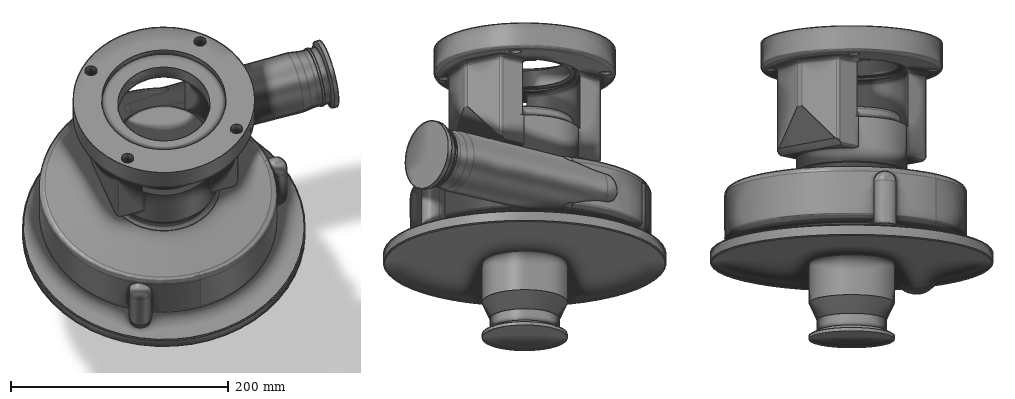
import cadquery as cq
import math

overall_length = 321

selection_margin = 0.3

plate_radius = 130.0
plate_thickness = 10.5
plate_edge_chamfer = 1.0

spacer_radius = 96.5
casing_bottom = 19.0

front_arc_radius = 112.7
rear_arc_radius = 102.7
casing_right = 107.0
front_center = casing_right - front_arc_radius
rear_center = casing_right - rear_arc_radius
casing_rim_height = 68.5
casing_cone_height = 74.0
casing_top_fillet = 5.5
casing_bottom_fillet = 6.0

throat_angle = math.radians(127)
throat_x = rear_center + rear_arc_radius * math.cos(throat_angle)
throat_y = rear_arc_radius * math.sin(throat_angle)
throat_web_radius = 5.8
throat_web_height = 22.5

nose_start_y = 33.7
nose_tip_x = -105.3
nose_tip_y = 43.3

neck_radius = 46.2
neck_fillet = 5.5
hub_bottom = 85.7
hub_radius = 50.7
hub_top = 127.8
pilot_radius = 44.5
pilot_top = 138.7
pilot_edge_fillet = 2.2

flange_top = 206.0
flange_thickness = 24.7
flange_radius = 83.5
flange_edge_fillet = 3.2
recess_radius = 57.0
recess_depth = 6.5
bore_radius = 42.5
underside_recess_depth = 3.0
bolt_hole_radius = 5.5
bolt_circle_radius = 74.8
bolt_count = 4
first_bolt_angle = 45
flange_bottom = flange_top - flange_thickness

column_half_width = 39.2
column_side_depth = 58.7
column_ridge_depth = 69.3
ridge_half_width = 3.0
column_inner_radius = 51.7
column_bottom = 98.2
column_bottom_radius = 5.8
slope_bottom_depth = 59.7
slope_top = 137.5
column_corner_fillet = 2.5
column_bottom_edge_fillet = 2.0
column_root_fillet = 4.0

pipe_x = -95.0
pipe_z = 44.3
pipe_radius = 28.2
pipe_inner_radius = 27.0
pipe_end = overall_length - plate_radius
pipe_neck_radius = 26.5
pipe_bead_radius = 27.5
pipe_clamp_radius = 31.8
pipe_clamp_thickness = 4.2

clamp_taper_end = 5.8
bead_start = 12.0
bead_end = 14.0
flare_start = 18.3
flare_middle = 25.7
flare_end = 33.0

inlet_radius = 39.2
inlet_neck_radius = 31.8
inlet_taper_start = -37.2
inlet_taper_end = -53.3
inlet_neck_end = -64.2
inlet_end = -71.3
inlet_clamp_edge = 3.2

domed_lug_angles = (90, -30)
flush_lug_angle = 210
flush_lug_top = 63.5
lug_center_radius = 108.5
lug_radius = 10.3
lug_inner_reach = 83.5
lug_bottom = 14.8
lug_shoulder = 55.2
foot_radius = 9.5


def cylinder(radius, bottom, top):
    return cq.Workplane("XY").workplane(offset=bottom).circle(radius).extrude(top - bottom)


def make_plate():
    plate = cylinder(plate_radius, 0, plate_thickness).edges().chamfer(plate_edge_chamfer)
    return plate.union(cylinder(spacer_radius, plate_thickness, casing_bottom))


def throat_wall_y(x):
    """Y of the straight throat wall at the given X."""
    return throat_y - (x - throat_x) / math.tan(throat_angle)


def make_casing():
    nose_start_x = front_center - math.sqrt(front_arc_radius**2 - nose_start_y**2)
    spiral = (
        cq.Workplane("XY")
        .workplane(offset=casing_bottom)
        .moveTo(casing_right, 0)
        .threePointArc((rear_center, rear_arc_radius), (throat_x, throat_y))
        .lineTo(pipe_x, throat_wall_y(pipe_x))
        .lineTo(pipe_x, nose_tip_y)
        .lineTo(nose_tip_x, nose_tip_y)
        .tangentArcPoint((nose_start_x, nose_start_y), relative=False)
        .threePointArc((front_center, -front_arc_radius), (casing_right, 0))
        .close()
        .extrude(casing_cone_height)
    )
    shallow_cone = (
        cq.Workplane("YZ")
        .moveTo(0, 0)
        .lineTo(plate_radius, 0)
        .lineTo(plate_radius, casing_rim_height)
        .lineTo(neck_radius, casing_cone_height)
        .lineTo(0, casing_cone_height)
        .close()
        .revolve(360, (0, 0, 0), (0, 1, 0))
    )
    casing = spiral.intersect(shallow_cone)
    casing = casing.faces("<Z").edges().fillet(casing_bottom_fillet)
    rim = cq.selectors.BoxSelector(
        (-plate_radius, -plate_radius, casing_rim_height - selection_margin),
        (plate_radius, plate_radius, casing_cone_height - selection_margin),
    )
    return casing.edges(rim).fillet(casing_top_fillet)


def make_hub():
    fillet_top = casing_cone_height + neck_fillet
    fillet_mid = neck_fillet * (1 - math.sqrt(0.5))
    profile = (
        cq.Workplane("XZ")
        .moveTo(0, casing_bottom)
        .lineTo(neck_radius + neck_fillet, casing_bottom)
        .lineTo(neck_radius + neck_fillet, casing_cone_height)
        .threePointArc(
            (neck_radius + fillet_mid, casing_cone_height + fillet_mid),
            (neck_radius, fillet_top),
        )
        .lineTo(neck_radius, hub_bottom)
        .lineTo(hub_radius, hub_bottom)
        .lineTo(hub_radius, hub_top)
        .lineTo(pilot_radius, hub_top)
        .lineTo(pilot_radius, pilot_top)
        .lineTo(0, pilot_top)
        .close()
    )
    return profile.revolve(360, (0, 0, 0), (0, 1, 0)).faces(">Z").edges().fillet(pilot_edge_fillet)


def make_column():
    """Column on the -Y side."""
    plan = (
        cq.Workplane("XY")
        .workplane(offset=column_bottom)
        .polyline([
            (-column_half_width, 0),
            (-column_half_width, -column_side_depth),
            (-ridge_half_width, -column_ridge_depth),
            (ridge_half_width, -column_ridge_depth),
            (column_half_width, -column_side_depth),
            (column_half_width, 0),
        ])
        .close()
        .extrude(flange_bottom - column_bottom)
    )
    plan = plan.edges("|Z").edges("not(<Y or >Y)").fillet(column_corner_fillet)
    side = (
        cq.Workplane("YZ")
        .moveTo(0, column_bottom)
        .lineTo(column_bottom_radius - slope_bottom_depth, column_bottom)
        .lineTo(-slope_bottom_depth, column_bottom + column_bottom_radius)
        .lineTo(-column_ridge_depth, slope_top)
        .lineTo(-column_ridge_depth, flange_bottom)
        .lineTo(0, flange_bottom)
        .close()
        .extrude(column_half_width, both=True)
    )
    column = plan.intersect(side)
    return column.faces("<Z").edges("|Y").fillet(column_bottom_edge_fillet)


def make_flange():
    flange = cylinder(flange_radius, flange_bottom, flange_top)
    return flange.faces("<Z").edges().fillet(flange_edge_fillet)


def make_lantern():
    column = make_column()
    columns = column.union(column.mirror("XZ"))
    columns = columns.cut(cylinder(column_inner_radius, hub_top, flange_bottom))
    lantern = columns.union(make_flange())
    root = cq.selectors.BoxSelector(
        (-column_half_width - 3.2, -column_ridge_depth - 3.2, flange_bottom - selection_margin),
        (column_half_width + 3.2, column_ridge_depth + 3.2, flange_bottom + selection_margin),
    )
    lantern = lantern.edges(root).fillet(column_root_fillet)
    lantern = lantern.cut(cylinder(recess_radius, flange_top - recess_depth, flange_top))
    lantern = lantern.cut(cylinder(bore_radius, flange_bottom, flange_top))
    lantern = lantern.cut(
        cylinder(column_inner_radius, flange_bottom, flange_bottom + underside_recess_depth)
    )
    holes = (
        cq.Workplane("XY")
        .workplane(offset=flange_bottom)
        .polarArray(bolt_circle_radius, first_bolt_angle, 360, bolt_count)
        .circle(bolt_hole_radius)
        .extrude(flange_thickness)
    )
    return lantern.cut(holes)


def make_pipe():
    flare_middle_radius = (pipe_neck_radius + pipe_radius) / 2
    end_mid = pipe_inner_radius * math.sqrt(0.5)
    profile = (
        cq.Workplane("XY")
        .moveTo(0, pipe_end)
        .lineTo(pipe_clamp_radius, pipe_end)
        .lineTo(pipe_clamp_radius, pipe_end - pipe_clamp_thickness)
        .lineTo(pipe_neck_radius, pipe_end - clamp_taper_end)
        .lineTo(pipe_neck_radius, pipe_end - bead_start)
        .lineTo(pipe_bead_radius, pipe_end - bead_start)
        .lineTo(pipe_bead_radius, pipe_end - bead_end)
        .lineTo(pipe_neck_radius, pipe_end - bead_end)
        .lineTo(pipe_neck_radius, pipe_end - flare_start)
        .tangentArcPoint((flare_middle_radius, pipe_end - flare_middle), relative=False)
        .tangentArcPoint((pipe_radius, pipe_end - flare_end), relative=False)
        .lineTo(pipe_inner_radius, 0)
        .threePointArc((end_mid, -end_mid), (0, -pipe_inner_radius))
        .close()
    )
    return profile.revolve(360, (0, 0, 0), (0, 1, 0)).translate((pipe_x, 0, pipe_z))


def make_throat_web():
    """Rounded web in the corner between the outlet pipe and the straight throat wall."""
    corner_x = pipe_x + pipe_inner_radius
    corner_y = throat_wall_y(corner_x)
    half_angle = (math.pi - throat_angle) / 2
    tangent_length = throat_web_radius / math.tan(half_angle)
    arc_gap = throat_web_radius / math.sin(half_angle) - throat_web_radius
    wall_tangent = (
        corner_x + tangent_length * math.sin(throat_angle),
        corner_y - tangent_length * math.cos(throat_angle),
    )
    arc_mid = (
        corner_x + arc_gap * math.cos(throat_angle / 2),
        corner_y + arc_gap * math.sin(throat_angle / 2),
    )
    pipe_tangent = (corner_x, corner_y + tangent_length)
    return (
        cq.Workplane("XY")
        .workplane(offset=pipe_z - throat_web_height / 2)
        .moveTo(*wall_tangent)
        .threePointArc(arc_mid, pipe_tangent)
        .lineTo(pipe_x, corner_y + tangent_length)
        .lineTo(pipe_x, 0)
        .close()
        .extrude(throat_web_height)
    )


def make_inlet():
    profile = (
        cq.Workplane("XZ")
        .lineTo(inlet_radius, 0)
        .lineTo(inlet_radius, inlet_taper_start)
        .lineTo(inlet_neck_radius, inlet_taper_end)
        .lineTo(inlet_neck_radius, inlet_neck_end)
        .lineTo(inlet_radius, inlet_end + inlet_clamp_edge)
        .lineTo(inlet_radius, inlet_end)
        .lineTo(0, inlet_end)
        .close()
    )
    return profile.revolve(360, (0, 0, 0), (0, 1, 0))


def make_lug(angle, post_top):
    post = cylinder(lug_radius, lug_bottom, post_top)
    web_length = lug_center_radius - lug_inner_reach
    web = cq.Workplane("XY").box(
        web_length, 2 * lug_radius, post_top - lug_bottom, centered=(False, True, False)
    ).translate((-web_length, 0, lug_bottom))
    foot = cylinder(foot_radius, plate_thickness, lug_bottom)
    lug = post.union(web).union(foot)
    return lug.translate((lug_center_radius, 0, 0)).rotate((0, 0, 0), (0, 0, 1), angle)


def make_domed_lug(angle):
    dome = cq.Workplane("XY").sphere(lug_radius).translate((lug_center_radius, 0, lug_shoulder))
    return make_lug(angle, lug_shoulder).union(dome.rotate((0, 0, 0), (0, 0, 1), angle))


result = make_casing().union(make_pipe()).union(make_throat_web())
result = result.union(make_plate()).union(make_hub()).union(make_inlet()).union(make_lantern())
for lug_angle in domed_lug_angles:
    result = result.union(make_domed_lug(lug_angle))
result = result.union(make_lug(flush_lug_angle, flush_lug_top))